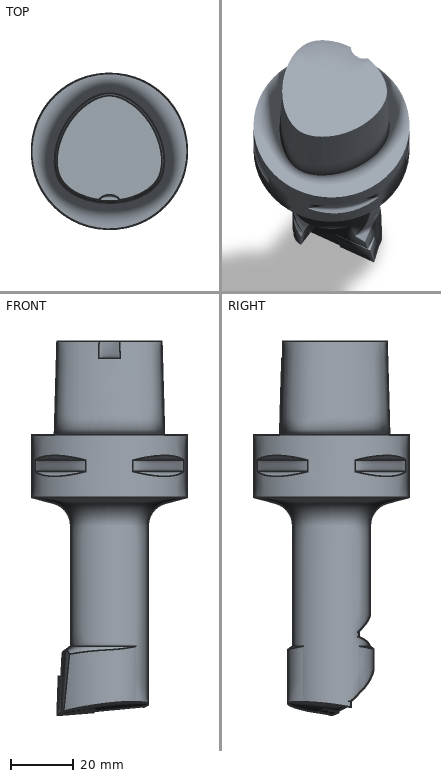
import cadquery as cq
import math


TAPER_HEIGHT = 30.0
TAPER_BASE_RADIUS = 17.6
TAPER_TOP_RADIUS = 16.8
LOBE_HEIGHT = 1.02
FLANK_HALF_ANGLE = 25.0
FLANK_CENTERS = (-90, 30, 150)
FLANK_PITCH = 120
KEYWAY_RADIUS = 4.2
KEYWAY_CENTER_Y = -18.1
KEYWAY_DEPTH = 5.5

FLANGE_DIAMETER = 50.0
FLANGE_RADIUS = FLANGE_DIAMETER / 2
FLANGE_HEIGHT = 20.0
SLOT_COUNT = 4
SLOT_FLOOR_RADIUS = 22.2
SLOT_MID_Z = -10.0
SLOT_FLOOR_WIDTH = 3.6
SLOT_MOUTH_WIDTH = 6.7

SHANK_RADIUS = 12.5
SHANK_END_Z = -67.8
BLEND_RADIUS = 7.2
UNDERSIDE_ANGLE = math.radians(15)

HEAD_CREST_X = -1.0
HEAD_HALF_DEPTH = 14.0
HEAD_NOSE_RADIUS = 17.4
HEAD_SEAM_X = 8.5
HEAD_BACK_RADIUS = 11.5
CHAMFER_SLOPE = 0.75
CUTTER_SIZE = 72.0
HEAD_BLANK_Z = -102.0
HEAD_BOTTOM_Z = -87.8
BOTTOM_SLOPE_X = 0.12
BOTTOM_SLOPE_Y = -0.13
SIDE_FACET_X = -14.4
SIDE_FACET_SLOPE_Y = -0.19
SIDE_FACET_SLOPE_Z = 0.08

RAKE_X = -11.3
RAKE_Y = 5.4
FLUTE_TOP_Z = -57.1
RAKE_ANGLE = 8.0
RAKE_TURN = 10.0
RAMP_Z = -64.8
RAMP_SLOPE_X = -0.4
RAMP_SLOPE_Y = 0.6
FLOOR_X = 8.8
HUMP_FOOT = (FLOOR_X, -64.8)
HUMP_TOP = (2.4, -67.5)
HUMP_END = (2.4, -75.6)
HUMP_ARC_MID = (7.2, -81.0)
HUMP_ARC_END = (10.8, -85.5)
FLUTE_BOTTOM_Z = HEAD_BLANK_Z

INSERT_TIP_Z = -90.0
INSERT_TIP_Y = 0.1
INSERT_ANGLE = 7.0
INSERT_THICKNESS = 4.7
INSERT_RELIEF = 7.0
INSERT_TIP_X = -16.8
INSERT_LENGTH = 12.0
INSERT_HEIGHT = 12.6
INSERT_SIDE_LEAN = 0.7
INSERT_BOTTOM_RISE = 1.0


def lobe_point(mean_radius, degrees, z):
    """Point of the constant-width outline whose outward normal is at this angle."""
    angle = math.radians(degrees)
    support = mean_radius - LOBE_HEIGHT * math.sin(3 * angle)
    slope = -3 * LOBE_HEIGHT * math.cos(3 * angle)
    x = support * math.cos(angle) - slope * math.sin(angle)
    y = support * math.sin(angle) + slope * math.cos(angle)
    return cq.Vector(x, y, z)


def lobed_outline(mean_radius, z):
    """Closed outline of three flat flanks and three lobes, one lobe toward +Y."""
    def stretch(start, end):
        steps = 6
        points = [lobe_point(mean_radius, start + (end - start) * i / steps, z) for i in range(steps + 1)]
        tangents = [
            cq.Vector(-math.sin(math.radians(d)), math.cos(math.radians(d)), 0)
            for d in (start, end)
        ]
        return cq.Edge.makeSpline(points, tangents=tangents)

    edges = []
    for flank_center in FLANK_CENTERS:
        flank_end = flank_center + FLANK_HALF_ANGLE
        next_flank_start = flank_center + FLANK_PITCH - FLANK_HALF_ANGLE
        edges.append(stretch(flank_center - FLANK_HALF_ANGLE, flank_end))
        edges.append(stretch(flank_end, next_flank_start))
    return cq.Wire.assembleEdges(edges)


def make_taper():
    base = lobed_outline(TAPER_BASE_RADIUS, 0)
    top = lobed_outline(TAPER_TOP_RADIUS, TAPER_HEIGHT)
    taper = cq.Workplane(cq.Solid.makeLoft([base, top], True))
    keyway = (
        cq.Workplane("XY", origin=(0, KEYWAY_CENTER_Y, TAPER_HEIGHT))
        .circle(KEYWAY_RADIUS)
        .extrude(-KEYWAY_DEPTH)
    )
    return taper.cut(keyway)


def make_flange_and_shank():
    """Revolved flange, conical underside, concave blend and plain shank."""
    sin_a = math.sin(UNDERSIDE_ANGLE)
    cos_a = math.cos(UNDERSIDE_ANGLE)
    blend_center_r = SHANK_RADIUS + BLEND_RADIUS
    cone_end_r = blend_center_r - BLEND_RADIUS * sin_a
    cone_end_z = -FLANGE_HEIGHT - (FLANGE_RADIUS - cone_end_r) * math.tan(UNDERSIDE_ANGLE)
    blend_end_z = cone_end_z - BLEND_RADIUS * cos_a
    mid_angle = (math.pi / 2 + UNDERSIDE_ANGLE + math.pi) / 2
    blend_mid = (
        blend_center_r + BLEND_RADIUS * math.cos(mid_angle),
        blend_end_z + BLEND_RADIUS * math.sin(mid_angle),
    )
    return (
        cq.Workplane("XZ")
        .lineTo(FLANGE_RADIUS, 0)
        .lineTo(FLANGE_RADIUS, -FLANGE_HEIGHT)
        .lineTo(cone_end_r, cone_end_z)
        .threePointArc(blend_mid, (SHANK_RADIUS, blend_end_z))
        .lineTo(SHANK_RADIUS, SHANK_END_Z)
        .lineTo(0, SHANK_END_Z)
        .close()
        .revolve(360, (0, 0), (0, 1))
    )


def make_gripper_slots():
    """Flat-floored slots with flared walls, spaced around the flange on the diagonals."""
    depth = FLANGE_RADIUS - SLOT_FLOOR_RADIUS
    floor_half = SLOT_FLOOR_WIDTH / 2
    mouth_half = SLOT_MOUTH_WIDTH / 2
    slot = (
        cq.Workplane("XZ", origin=(SLOT_FLOOR_RADIUS, 0, SLOT_MID_Z))
        .polyline([(0, -floor_half), (depth, -mouth_half), (depth, mouth_half), (0, floor_half)])
        .close()
        .extrude(FLANGE_RADIUS, both=True)
    )
    first_angle = 180 / SLOT_COUNT
    return [
        slot.rotate((0, 0, 0), (0, 0, 1), first_angle + i * 360 / SLOT_COUNT)
        for i in range(SLOT_COUNT)
    ]


def make_head():
    """Head prism with conical top, sloped bottom and a flat facet on the cutting side."""
    seam_y = math.sqrt(SHANK_RADIUS**2 - HEAD_SEAM_X**2)
    nose_center_y = HEAD_HALF_DEPTH - HEAD_NOSE_RADIUS
    nose_x = HEAD_CREST_X - math.sqrt(HEAD_NOSE_RADIUS**2 - nose_center_y**2)
    blank_height = SHANK_END_Z - HEAD_BLANK_Z
    head = (
        cq.Workplane("XY", origin=(0, 0, HEAD_BLANK_Z))
        .moveTo(HEAD_SEAM_X, -seam_y)
        .threePointArc((SHANK_RADIUS, 0), (HEAD_SEAM_X, seam_y))
        .radiusArc((HEAD_CREST_X, HEAD_HALF_DEPTH), -HEAD_BACK_RADIUS)
        .radiusArc((nose_x, 0), -HEAD_NOSE_RADIUS)
        .radiusArc((HEAD_CREST_X, -HEAD_HALF_DEPTH), -HEAD_NOSE_RADIUS)
        .radiusArc((HEAD_SEAM_X, -seam_y), -HEAD_BACK_RADIUS)
        .close()
        .extrude(blank_height)
    )

    cone_radius = SHANK_RADIUS + blank_height / CHAMFER_SLOPE
    cone = cq.Workplane(
        cq.Solid.makeCone(cone_radius, SHANK_RADIUS, blank_height, cq.Vector(0, 0, HEAD_BLANK_Z))
    )

    below_bottom = (
        cq.Workplane(
            cq.Plane(
                (0, 0, HEAD_BOTTOM_Z),
                (1, 0, BOTTOM_SLOPE_X),
                (BOTTOM_SLOPE_X, BOTTOM_SLOPE_Y, -1),
            )
        )
        .rect(CUTTER_SIZE, CUTTER_SIZE)
        .extrude(CUTTER_SIZE)
    )
    outside_facet = (
        cq.Workplane(
            cq.Plane(
                (SIDE_FACET_X, 0, SHANK_END_Z),
                (SIDE_FACET_SLOPE_Y, 1, 0),
                (-1, SIDE_FACET_SLOPE_Y, SIDE_FACET_SLOPE_Z),
            )
        )
        .rect(CUTTER_SIZE, CUTTER_SIZE)
        .extrude(CUTTER_SIZE)
    )
    return head.intersect(cone).cut(below_bottom).cut(outside_facet)


def make_flute():
    """Chip space between the leaning rake wall and the humped floor, closed above by a ramp."""
    floor_space = (
        cq.Workplane("XZ")
        .moveTo(-CUTTER_SIZE, 0)
        .lineTo(FLOOR_X, 0)
        .lineTo(*HUMP_FOOT)
        .lineTo(*HUMP_TOP)
        .lineTo(*HUMP_END)
        .threePointArc(HUMP_ARC_MID, HUMP_ARC_END)
        .lineTo(HUMP_ARC_END[0], FLUTE_BOTTOM_Z)
        .lineTo(-CUTTER_SIZE, FLUTE_BOTTOM_Z)
        .close()
        .extrude(CUTTER_SIZE / 2, both=True)
    )
    rake_side = (
        cq.Workplane("XY")
        .box(CUTTER_SIZE, CUTTER_SIZE, 2 * CUTTER_SIZE, centered=(True, False, True))
        .rotate((0, 0, 0), (1, 0, 0), -RAKE_ANGLE)
        .rotate((0, 0, 0), (0, 0, 1), RAKE_TURN)
        .translate((RAKE_X, RAKE_Y, FLUTE_TOP_Z))
    )
    below_ramp = (
        cq.Workplane(cq.Plane((0, 0, RAMP_Z), (1, 0, RAMP_SLOPE_X), (RAMP_SLOPE_X, RAMP_SLOPE_Y, -1)))
        .rect(2 * CUTTER_SIZE, 2 * CUTTER_SIZE)
        .extrude(CUTTER_SIZE)
    )
    return floor_space.intersect(rake_side).intersect(below_ramp)


def make_insert():
    """Four-sided plate whose rake face leans toward +Y at its upper end."""
    rake_outline = cq.Wire.makePolygon(
        [
            cq.Vector(0, 0, 0),
            cq.Vector(INSERT_LENGTH, 0, INSERT_BOTTOM_RISE),
            cq.Vector(INSERT_LENGTH + INSERT_SIDE_LEAN, 0, INSERT_HEIGHT + INSERT_BOTTOM_RISE),
            cq.Vector(INSERT_SIDE_LEAN, 0, INSERT_HEIGHT),
        ],
        close=True,
    )
    relief_inset = INSERT_THICKNESS * math.tan(math.radians(INSERT_RELIEF))
    inset_outline = rake_outline.offset2D(-relief_inset, "intersection")[0]
    seat_outline = inset_outline.translate(cq.Vector(0, -INSERT_THICKNESS, 0))
    return (
        cq.Workplane(cq.Solid.makeLoft([rake_outline, seat_outline], True))
        .rotate((0, 0, 0), (1, 0, 0), -INSERT_ANGLE)
        .rotate((0, 0, 0), (0, 0, 1), RAKE_TURN)
        .translate((INSERT_TIP_X, INSERT_TIP_Y, INSERT_TIP_Z))
    )


insert = make_insert()

holder = make_flange_and_shank().union(make_taper())
for gripper_slot in make_gripper_slots():
    holder = holder.cut(gripper_slot)
holder = holder.union(make_head()).cut(make_flute()).cut(insert)

result = cq.Compound.makeCompound([holder.val(), insert.val()])